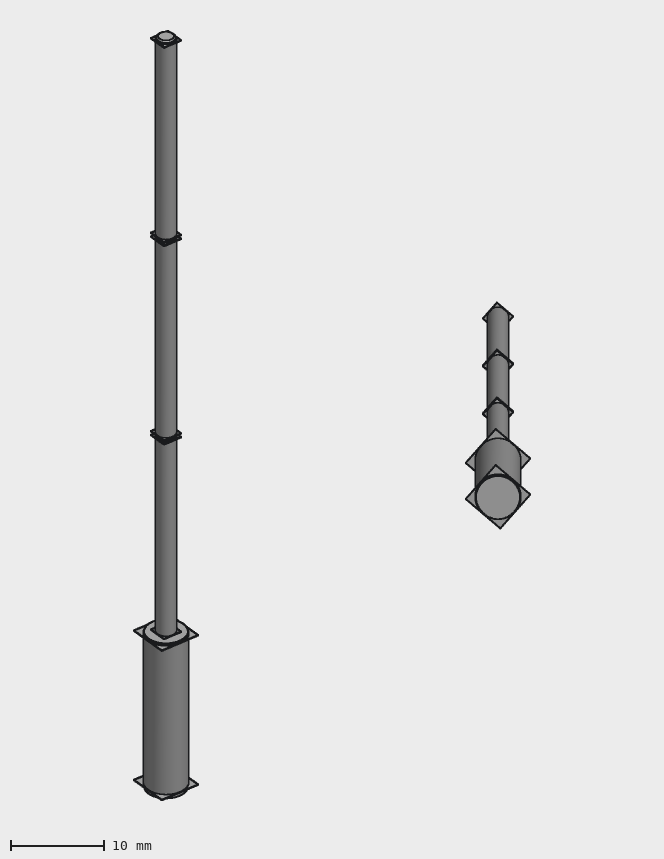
import cadquery as cq

total_height = 96.1
base_height = 19.9
base_side = 4.9
base_collar_diameter = 4.7
base_foot_height = 0.5
base_collar_height = 0.2
mast_count = 3
mast_side = 2.3
mast_collar_diameter = 2.1
mast_collar_height = 0.4
mast_collar_chamfer = 0.2
plate_thickness = 0.1

mast_length = (total_height - base_height) / mast_count


def round_bar(diameter, bottom_z, length):
    """Round bar along the Z axis."""
    return cq.Workplane("XY").workplane(offset=bottom_z).circle(diameter / 2).extrude(length)


def square_plate(side, bottom_z):
    """Thin square plate centred on the Z axis."""
    return cq.Workplane("XY").workplane(offset=bottom_z).rect(side, side).extrude(plate_thickness)


def plated_barrel(side, bottom_z, top_z):
    """Round barrel with a square plate flush with each end."""
    barrel = round_bar(side, bottom_z, top_z - bottom_z)
    lower_plate = square_plate(side, bottom_z)
    upper_plate = square_plate(side, top_z - plate_thickness)
    return barrel.union(lower_plate).union(upper_plate)


def build_base():
    """Thick lower post with a round foot below and a round collar on top."""
    barrel_top = base_height - base_collar_height
    foot = round_bar(base_collar_diameter, 0, base_foot_height)
    collar = round_bar(base_collar_diameter, barrel_top, base_collar_height)
    return plated_barrel(base_side, base_foot_height, barrel_top).union(foot).union(collar)


def build_mast(bottom_z):
    """One slender section of the stacked mast, with a chamfered round collar on top."""
    barrel_top = bottom_z + mast_length - mast_collar_height
    collar = round_bar(mast_collar_diameter, barrel_top, mast_collar_height)
    collar = collar.faces(">Z").chamfer(mast_collar_chamfer)
    return plated_barrel(mast_side, bottom_z, barrel_top).union(collar)


base = build_base()
masts = []
for index in range(mast_count):
    masts.append(build_mast(base_height + index * mast_length).val())

result = cq.Compound.makeCompound([base.val(), *masts])